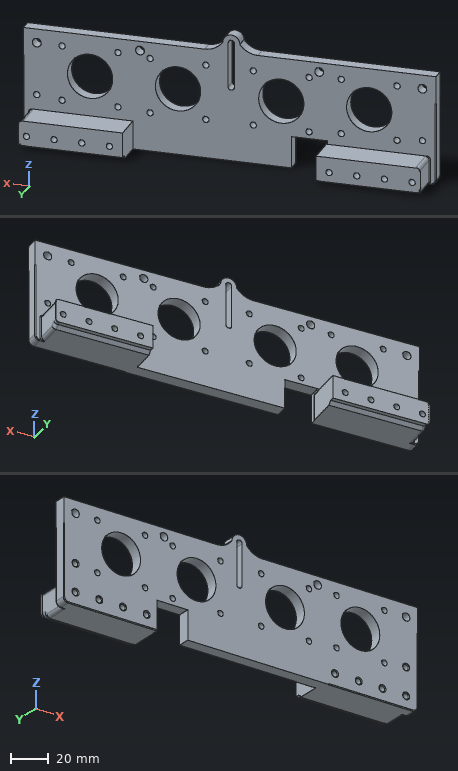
import cadquery as cq
import math

plate_length = 230.0
plate_thickness = 7.5
plate_height = 62.0
corner_radius = 3.0
bevel = 0.5

tab_x = -1.0
tab_radius = 4.8
tab_top = 72.0
flare_radius = 12.5
slot_width = 3.5
slot_bottom = 40.5

notch_left = -54.0
notch_width = 19.5
notch_height = 18.0

bevel_top = 46.5
bevel_right_start = 57.3

opening_diameter = 25.0
screw_pitch = 31.0
outer_opening_x = 77.7
outer_opening_z = 38.6
inner_opening_x = 28.8
inner_opening_z = 37.5

screw_diameter = 3.5
pin_diameter = 4.8
edge_hole_x = 107.5
corner_pin_z = 54.3
inner_pin_x = 50.0
inner_pin_z = 56.8
side_hole_z = 24.5
block_hole_z = 7.5
block_hole_pitch = 15.5
block_hole_count = 4

block_top = 16.0
block_back = 25.5
block_inner_x = 53.8
block_end_inset = 3.7
block_outer_x = plate_length / 2 - block_end_inset
block_end_radius = 2.0
step_height = 2.0
step_back = 23.0
lip = 0.7


def along_y(x, z, diameter, end=block_back):
    """Round bar from the front face back to Y = end, used to drill a hole."""
    return cq.Workplane("XZ", origin=(x, 0, z)).circle(diameter / 2).extrude(-end)


def box(x_range, y_range, z_range):
    """Box given by its limits along each axis."""
    sizes = [high - low for low, high in (x_range, y_range, z_range)]
    corner = (x_range[0], y_range[0], z_range[0])
    return cq.Workplane("XY", origin=corner).box(*sizes, centered=False)


def flare_start():
    """Distance from the tab's centre line to where its flare leaves the plate's top edge."""
    tab_center_z = tab_top - tab_radius
    rise = tab_center_z - plate_height
    return tab_radius + math.sqrt(flare_radius**2 - (flare_radius - rise) ** 2)


def plate():
    """Plate with rounded bottom corners, a notch, bevelled feet and the slotted tab."""
    half = plate_length / 2
    depth = (0, plate_thickness)
    panel = box((-half, half), depth, (0, plate_height))
    for corner in ("<X and <Z", ">X and <Z"):
        panel = panel.edges("|Y").edges(corner).fillet(corner_radius)
    panel = panel.cut(box((notch_left, notch_left + notch_width), depth, (0, notch_height)))
    return bevel_feet(panel).union(tab()).cut(slot())


def tab():
    """Round-topped tab that flares out into the plate's top edge."""
    tab_center_z = tab_top - tab_radius
    flare = flare_start()
    return (
        cq.Workplane("XZ")
        .moveTo(tab_x - flare, plate_height)
        .lineTo(tab_x + flare, plate_height)
        .radiusArc((tab_x + tab_radius, tab_center_z), flare_radius)
        .threePointArc((tab_x, tab_top), (tab_x - tab_radius, tab_center_z))
        .radiusArc((tab_x - flare, plate_height), flare_radius)
        .close()
        .extrude(-plate_thickness)
    )


def bevel_feet(body):
    """Bevel the front and back edges around the lower left and lower right of the plate."""
    slivers = body.cut(body.faces("|Y").edges().chamfer(bevel))
    half = plate_length / 2
    depth = (0, plate_thickness)
    left_zone = box((-half, notch_left), depth, (0, bevel_top))
    left_zone = left_zone.cut(box((notch_left - bevel, notch_left), depth, (notch_height, bevel_top)))
    right_zone = box((bevel_right_start, half), depth, (0, bevel_top))
    return body.cut(slivers.intersect(left_zone.union(right_zone)))


def slot():
    """Upright slot whose upper end is concentric with the tab."""
    slot_top = tab_top - tab_radius + slot_width / 2
    length = slot_top - slot_bottom
    return (
        cq.Workplane("XZ", origin=(tab_x, 0, slot_bottom + length / 2))
        .slot2D(length, slot_width, 90)
        .extrude(-plate_thickness)
    )


def block_body():
    """Right-hand block with a stepped underside and a rounded outer end."""
    step_front = step_back - step_height
    y_start = plate_thickness / 2
    return (
        cq.Workplane("YZ", origin=(block_inner_x, 0, 0))
        .moveTo(y_start, 0)
        .lineTo(step_front, 0)
        .lineTo(step_back, step_height)
        .lineTo(block_back, step_height)
        .lineTo(block_back, block_top)
        .lineTo(y_start, block_top)
        .close()
        .extrude(block_outer_x - block_inner_x)
        .faces(">X")
        .edges("not |Z")
        .fillet(block_end_radius)
    )


def end_section(outer_x, bottom):
    """Outline of the block's rounded outer end, in the XZ plane."""
    r = block_end_radius
    return (
        cq.Workplane("XZ")
        .moveTo(block_inner_x, bottom)
        .lineTo(outer_x - r, bottom)
        .radiusArc((outer_x, bottom + r), -r)
        .lineTo(outer_x, block_top - r)
        .radiusArc((outer_x - r, block_top), -r)
        .lineTo(block_inner_x, block_top)
        .close()
        .val()
    )


def end_lip(bottom, wide_y, narrow_y):
    """Slice of the block whose outer end flares out from narrow_y to wide_y."""
    wide = end_section(block_outer_x + lip, bottom).translate((0, wide_y, 0))
    narrow = end_section(block_outer_x, bottom).translate((0, narrow_y, 0))
    return cq.Workplane(cq.Solid.makeLoft([wide, narrow], True))


def block():
    """Right-hand block with a flared lip at the front and back of its outer end."""
    front_lip = end_lip(0, plate_thickness, plate_thickness + lip)
    back_lip = end_lip(step_height, block_back, block_back - lip)
    return block_body().union(front_lip).union(back_lip)


def countersunk_hole(x, z):
    """Screw hole through plate and block, with a small bevel at the front."""
    mouth = (
        cq.Workplane("XZ", origin=(x, 0, z))
        .circle(screw_diameter / 2 + bevel)
        .workplane(offset=-bevel)
        .circle(screw_diameter / 2)
        .loft(ruled=True)
    )
    return along_y(x, z, screw_diameter).union(mouth)


def opening_pattern(x, z):
    """Large opening with four screw holes around it."""
    cutter = along_y(x, z, opening_diameter, end=plate_thickness)
    for dx in (-screw_pitch / 2, screw_pitch / 2):
        for dz in (-screw_pitch / 2, screw_pitch / 2):
            cutter = cutter.union(along_y(x + dx, z + dz, screw_diameter, end=plate_thickness))
    return cutter


result = plate()
right_block = block()
result = result.union(right_block).union(right_block.mirror("YZ"))

for side in (-1, 1):
    result = result.cut(opening_pattern(side * outer_opening_x, outer_opening_z))
    result = result.cut(opening_pattern(side * inner_opening_x, inner_opening_z))
    result = result.cut(along_y(side * edge_hole_x, corner_pin_z, pin_diameter))
    result = result.cut(along_y(side * inner_pin_x, inner_pin_z, pin_diameter))
    result = result.cut(countersunk_hole(side * edge_hole_x, side_hole_z))
    for i in range(block_hole_count):
        x = edge_hole_x - i * block_hole_pitch
        result = result.cut(countersunk_hole(side * x, block_hole_z))